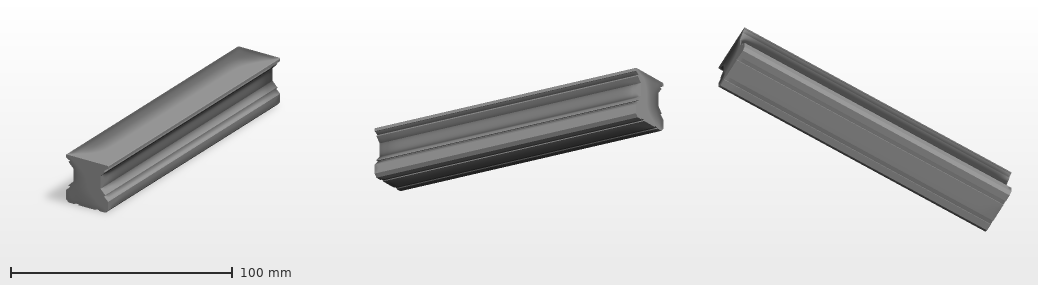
import cadquery as cq

rail_width = 23.0
rail_length = 140.0
rail_height = 23.6

half_width = rail_width / 2
web_half_width = 7.35
web_bottom_z = 11.2
web_top_z = 17.5
relief_outer_x = 9.9
relief_root_x = 9.3
relief_lip_height = 0.4
relief_root_height = 0.45
base_shoulder_z = 5.8
head_shoulder_z = 22.0
shoulder_strip = 0.35
base_strip_rise = 0.35
top_chamfer = 0.3
base_chamfer = 1.5

groove_center_x = 5.6
groove_width = 2.1
groove_depth = 0.5

cap_diameter = 11.0
cap_thickness = 3.0
cap_count = 5
cap_pitch = 30.0


def make_rail():
    """Extrude the symmetric cross-section along the rail."""
    raceway_run = relief_outer_x - web_half_width
    lower_lip_z = web_bottom_z - raceway_run
    upper_lip_z = web_top_z + raceway_run
    relief_height = relief_lip_height + relief_root_height
    strip_start_x = half_width - shoulder_strip
    right_side = [
        (half_width - base_chamfer, 0),
        (half_width, base_chamfer),
        (half_width, base_shoulder_z),
        (strip_start_x, base_shoulder_z + base_strip_rise),
        (relief_root_x, lower_lip_z - relief_height),
        (relief_root_x, lower_lip_z - relief_lip_height),
        (relief_outer_x, lower_lip_z - relief_lip_height),
        (relief_outer_x, lower_lip_z),
        (web_half_width, web_bottom_z),
        (web_half_width, web_top_z),
        (relief_outer_x, upper_lip_z),
        (relief_outer_x, upper_lip_z + relief_lip_height),
        (relief_root_x, upper_lip_z + relief_lip_height),
        (relief_root_x, upper_lip_z + relief_height),
        (strip_start_x, head_shoulder_z),
        (half_width, head_shoulder_z),
        (half_width, rail_height - top_chamfer),
        (half_width - top_chamfer, rail_height),
    ]
    left_side = [(-x, z) for x, z in reversed(right_side)]
    section = cq.Workplane("XZ").polyline(right_side + left_side).close()
    return section.extrude(rail_length / 2, both=True)


def cut_base_grooves(rail):
    """Cut the two shallow square grooves along the mounting face."""
    for center_x in (-groove_center_x, groove_center_x):
        groove = (
            cq.Workplane("XY", origin=(center_x, 0, 0))
            .rect(groove_width, rail_length)
            .extrude(groove_depth)
        )
        rail = rail.cut(groove)
    return rail


def fit_caps(rail):
    """Fuse flush caps into the top face, keeping each circular joint as an edge."""
    caps = (
        cq.Workplane("XY", origin=(0, 0, rail_height - cap_thickness))
        .rarray(1, cap_pitch, 1, cap_count)
        .circle(cap_diameter / 2)
        .extrude(cap_thickness)
    )
    return rail.cut(caps).union(caps, clean=False)


result = fit_caps(cut_base_grooves(make_rail()))